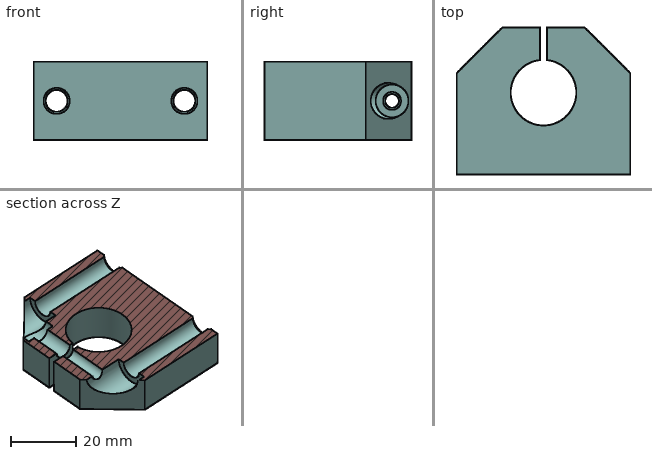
import cadquery as cq

width = 53.0
depth = 45.0
height = 24.0
corner_cut = 14.0

bore_diameter = 20.0
bore_y = 25.0
slot_width = 2.0

mount_spacing = 39.0
mount_diameter = 6.6
mount_countersink = 0.7
mount_head_diameter = 11.0
mount_head_depth = 15.0

clamp_from_back = 6.0
clamp_thread_diameter = 4.15
clamp_clearance_diameter = 5.5
clamp_head_diameter = 10.0
clamp_seat_x = 11.0

half_width = width / 2
shoulder_y = depth - corner_cut
clamp_y = depth - clamp_from_back


def make_block():
    """Upright prism with both back corners cut at 45 degrees."""
    outline = [
        (-half_width, 0),
        (half_width, 0),
        (half_width, shoulder_y),
        (half_width - corner_cut, depth),
        (-half_width + corner_cut, depth),
        (-half_width, shoulder_y),
    ]
    return cq.Workplane("XY").polyline(outline).close().extrude(height / 2, both=True)


def cylinder_along(axis, start, diameter, length):
    """Cylinder that begins at start and runs in the direction axis."""
    return cq.Workplane(obj=cq.Solid.makeCylinder(diameter / 2, length, cq.Vector(*start), cq.Vector(*axis)))


def make_bore_and_slot():
    """Vertical shaft bore, opened to the back face by the slot."""
    bore = cylinder_along((0, 0, 1), (0, bore_y, -height / 2), bore_diameter, height)
    slot_length = depth - bore_y
    slot = cq.Workplane("XY").box(slot_width, slot_length, height)
    return bore.union(slot.translate((0, bore_y + slot_length / 2, 0)))


def make_mount_hole(x):
    """Through hole with a countersink at the front and a head recess at the back."""
    along_y = (0, 1, 0)
    hole = cylinder_along(along_y, (x, 0, 0), mount_diameter, depth)
    head = cylinder_along(along_y, (x, depth - mount_head_depth, 0), mount_head_diameter, mount_head_depth)
    hole_radius = mount_diameter / 2
    countersink = cq.Solid.makeCone(
        hole_radius + mount_countersink,
        hole_radius,
        mount_countersink,
        cq.Vector(x, 0, 0),
        cq.Vector(*along_y),
    )
    return hole.union(head).union(cq.Workplane(obj=countersink))


def make_clamp_hole():
    """Threaded half at -X, clearance half and head recess at +X."""
    along_x = (1, 0, 0)
    thread = cylinder_along(along_x, (-half_width, clamp_y, 0), clamp_thread_diameter, half_width)
    clearance = cylinder_along(along_x, (0, clamp_y, 0), clamp_clearance_diameter, half_width)
    head_length = half_width - clamp_seat_x
    head = cylinder_along(along_x, (clamp_seat_x, clamp_y, 0), clamp_head_diameter, head_length)
    return thread.union(clearance).union(head)


result = make_block().cut(make_bore_and_slot())
for mount_x in (-mount_spacing / 2, mount_spacing / 2):
    result = result.cut(make_mount_hole(mount_x))
result = result.cut(make_clamp_hole())